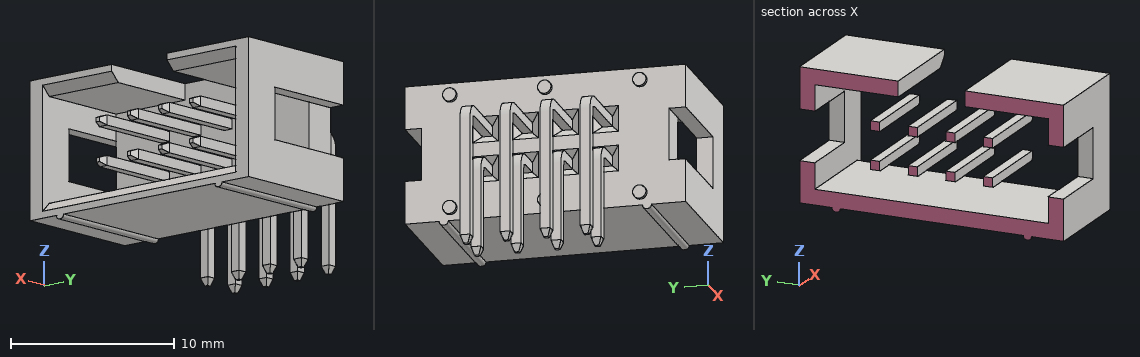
import cadquery as cq
import math


overall_x = 13.55
overall_z = 11.82
body_y = 17.82
body_z = 8.82
pin_reach_back = 4.72
body_x = overall_x - pin_reach_back
floor_thickness = 2.02
wall = 1.05
lead_in = 0.61

key_slot_width = 4.48
window_height = 3.31
window_end_x = 6.37

pitch = 2.54
rows = 2
columns = 4
pin_size = 0.64
pin_tip_size = 0.27
pin_tip_length = 0.5
pin_front_x = 8.33
pin_bottom_z = body_z / 2 - overall_z
bend_outer_radius = 1.0
bend_inner_radius = bend_outer_radius - pin_size

recess_size = 1.65
recess_depth = (recess_size - pin_size) / 2

bump_diameter = 0.85
bump_height = 0.25
bump_pitch_y = 6.03
bump_z = 3.61

rib_y = 6.45
rib_width = 0.58
rib_height = 0.25
rib_edge_radius = 0.24

row_heights = [(row - (rows - 1) / 2) * pitch for row in range(rows)]
column_positions = [(column - (columns - 1) / 2) * pitch for column in range(columns)]


def block(x_start, x_end, size_y, size_z, y=0, z=0):
    """Box spanning x_start to x_end, centred on y and z."""
    length = x_end - x_start
    return cq.Workplane("XY").box(length, size_y, size_z).translate((x_start + length / 2, y, z))


def make_cavity():
    """Connector cavity with bevelled mouths on the two long walls."""
    half_height = body_z / 2 - wall
    mouth_half_height = half_height + lead_in
    cavity_y = body_y - 2 * wall
    return (
        cq.Workplane("XZ")
        .moveTo(floor_thickness, -half_height)
        .lineTo(body_x - lead_in, -half_height)
        .lineTo(body_x, -mouth_half_height)
        .lineTo(body_x, mouth_half_height)
        .lineTo(body_x - lead_in, half_height)
        .lineTo(floor_thickness, half_height)
        .close()
        .extrude(cavity_y / 2, both=True)
    )


def make_recess(y, z):
    """Pyramidal recess narrowing from the rear face down to the pin."""
    return (
        cq.Workplane("YZ", origin=(0, y, z))
        .rect(recess_size, recess_size)
        .workplane(offset=recess_depth)
        .rect(pin_size, pin_size)
        .loft(ruled=True)
    )


def make_rib(y):
    """Rib with rounded lower edges along the underside of the housing."""
    rib = block(0, body_x, rib_width, rib_height, y=y, z=-(body_z + rib_height) / 2)
    return rib.edges("|X and <Z").fillet(rib_edge_radius)


def make_housing():
    housing = block(0, body_x, body_y, body_z).cut(make_cavity())

    slot_z = (body_z - wall) / 2
    housing = housing.cut(block(floor_thickness, body_x, key_slot_width, wall, z=slot_z))

    for side in (-1, 1):
        window_y = side * (body_y - wall) / 2
        housing = housing.cut(block(0, window_end_x, wall, window_height, y=window_y))
        housing = housing.union(make_rib(side * rib_y))

    for y in column_positions:
        for z in row_heights:
            housing = housing.cut(make_recess(y, z))

    bump_points = [(y, z) for y in (-bump_pitch_y, 0, bump_pitch_y) for z in (-bump_z, bump_z)]
    bumps = cq.Workplane("YZ").pushPoints(bump_points).circle(bump_diameter / 2).extrude(-bump_height)
    return housing.union(bumps)


def make_tip(base, direction):
    """Tapered pin end growing from the base point in the given direction."""
    return (
        cq.Workplane(cq.Plane(base, (0, 1, 0), direction))
        .rect(pin_size, pin_size)
        .workplane(offset=pin_tip_length)
        .rect(pin_tip_size, pin_tip_size)
        .loft(ruled=True)
    )


def make_pin(y, row):
    """Square pin bent down behind the housing; upper rows reach further back."""
    z = row_heights[row]
    outer_x = -pin_reach_back + (rows - 1 - row) * pitch
    inner_x = outer_x + pin_size
    top_z = z + pin_size / 2
    under_z = z - pin_size / 2
    bend_x = outer_x + bend_outer_radius
    bend_z = top_z - bend_outer_radius
    leg_end_z = pin_bottom_z + pin_tip_length
    shaft_end_x = pin_front_x - pin_tip_length
    diagonal = math.sqrt(0.5)
    outer_middle = (bend_x - bend_outer_radius * diagonal, bend_z + bend_outer_radius * diagonal)
    inner_middle = (bend_x - bend_inner_radius * diagonal, bend_z + bend_inner_radius * diagonal)

    shaft = (
        cq.Workplane("XZ", origin=(0, y, 0))
        .moveTo(shaft_end_x, top_z)
        .lineTo(bend_x, top_z)
        .threePointArc(outer_middle, (outer_x, bend_z))
        .lineTo(outer_x, leg_end_z)
        .lineTo(inner_x, leg_end_z)
        .lineTo(inner_x, bend_z)
        .threePointArc(inner_middle, (bend_x, under_z))
        .lineTo(shaft_end_x, under_z)
        .close()
        .extrude(pin_size / 2, both=True)
    )
    front_tip = make_tip((shaft_end_x, y, z), (1, 0, 0))
    lower_tip = make_tip((outer_x + pin_size / 2, y, leg_end_z), (0, 0, -1))
    return shaft.union(front_tip).union(lower_tip)


result = make_housing()
for column_y in column_positions:
    for row_index in range(rows):
        result = result.union(make_pin(column_y, row_index))